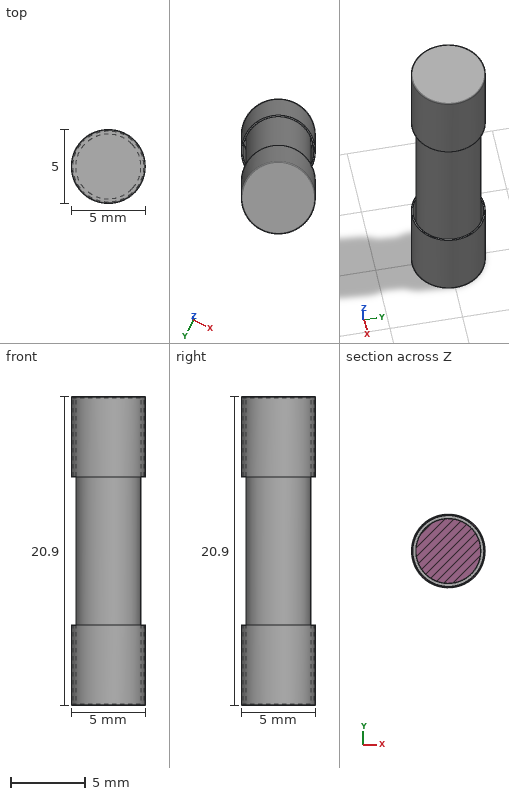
import cadquery as cq

total_length = 20.85
cap_diameter = 5.0
cap_bore_diameter = 4.8
cap_length = 5.42
tube_diameter = 4.4
edge_round = 0.05

cap_wall = (cap_diameter - cap_bore_diameter) / 2
end_height = total_length / 2
tube_length = total_length - 2 * cap_wall


def make_tube():
    """Cylindrical fuse body, centred on the origin and reaching the floor of both caps."""
    return cq.Workplane("XY").workplane(offset=-tube_length / 2).circle(tube_diameter / 2).extrude(tube_length)


def make_cap(side):
    """Thin-walled cup around one end of the body; side is 1 for the top and -1 for the bottom."""
    cap = cq.Workplane("XY").circle(cap_diameter / 2).extrude(cap_length)
    cap = cap.faces("<Z").edges().fillet(edge_round)
    bore = (
        cq.Workplane("XY")
        .workplane(offset=cap_wall)
        .circle(cap_bore_diameter / 2)
        .extrude(cap_length - cap_wall)
    )
    cap = cap.cut(bore)
    if side > 0:
        cap = cap.mirror("XY")
    return cap.translate((0, 0, side * end_height))


tube = make_tube()
caps = [make_cap(side) for side in (-1, 1)]

result = cq.Compound.makeCompound([tube.val(), *[cap.val() for cap in caps]])